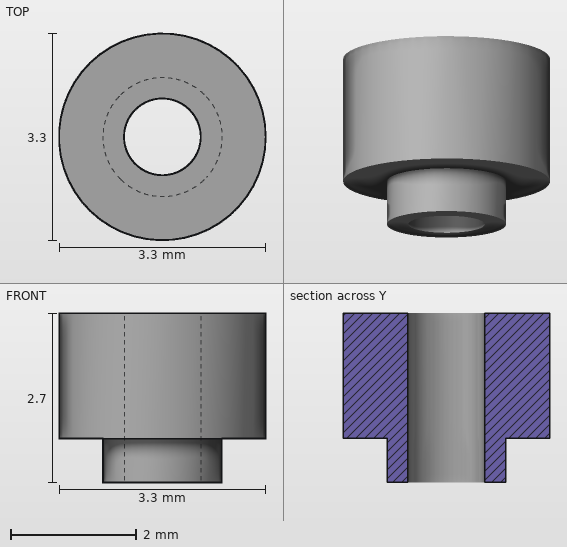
import cadquery as cq

body_diameter = 3.3
body_height = 2.0
spigot_diameter = 1.9
spigot_height = 0.7
bore_diameter = 1.22


def make_body():
    """Main cylinder, standing on the Z = 0 plane."""
    return cq.Workplane("XY").circle(body_diameter / 2).extrude(body_height)


def make_spigot():
    """Narrower cylinder hanging below the body."""
    return cq.Workplane("XY").circle(spigot_diameter / 2).extrude(-spigot_height)


def cut_bore(part):
    """Plain bore through the body and the spigot."""
    return part.faces(">Z").workplane().hole(bore_diameter)


result = cut_bore(make_body().union(make_spigot()))